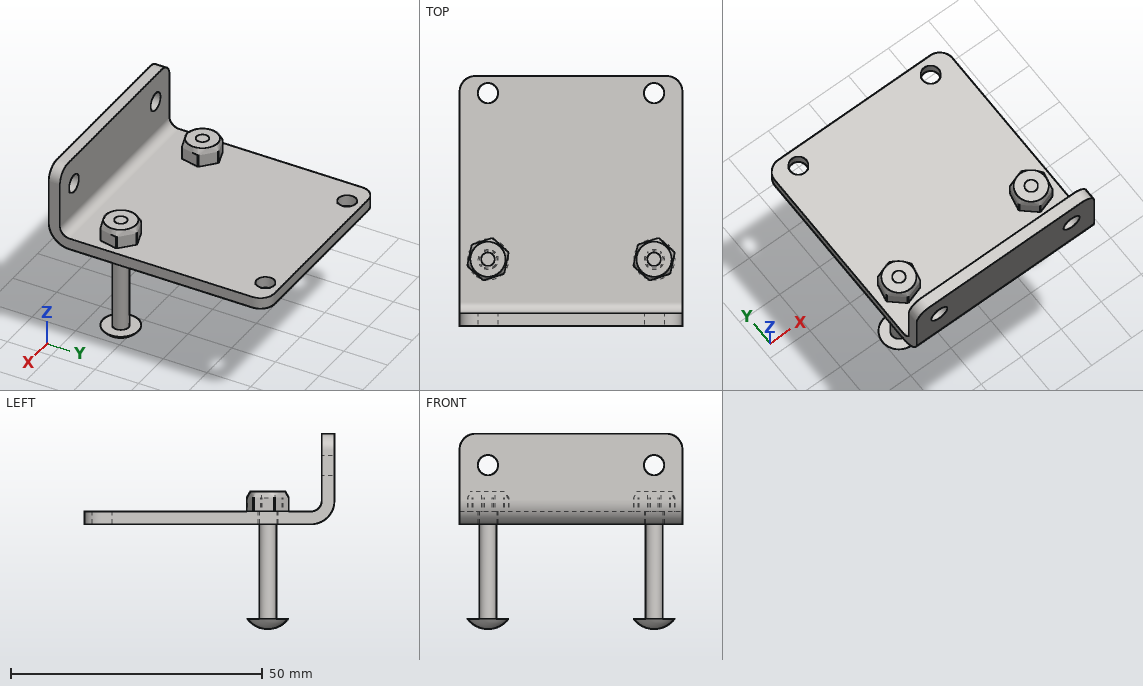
import cadquery as cq
import math

plate_width = 44.45
plate_length = 49.8
sheet_thickness = 2.6
flange_height = 18.1
inner_bend_radius = 2.15
outer_bend_radius = inner_bend_radius + sheet_thickness
corner_radius = 3.2

hole_diameter = 4.0
hole_spacing = 33.1
rear_hole_inset = 3.45
flange_hole_drop = 6.3
hole_xs = (-hole_spacing / 2, hole_spacing / 2)
rear_hole_y = plate_length - rear_hole_inset
bolt_y = rear_hole_y - hole_spacing
flange_hole_z = flange_height - flange_hole_drop

nut_across_flats = 7.5
nut_corner_flat = 0.3
nut_height = 4.0
nut_prism_height = 2.75
nut_top_diameter = 6.95
nut_insert_diameter = 5.4
nut_turn = 18.0

shank_diameter = 3.5
tip_diameter = 2.7
shank_below_plate = 18.8
head_diameter = 8.15
total_height = 38.95
head_height = total_height - flange_height - shank_below_plate


def make_bracket():
    bracket = (
        cq.Workplane("YZ")
        .moveTo(plate_length, 0)
        .lineTo(outer_bend_radius, 0)
        .radiusArc((0, outer_bend_radius), outer_bend_radius)
        .lineTo(0, flange_height)
        .lineTo(sheet_thickness, flange_height)
        .lineTo(sheet_thickness, outer_bend_radius)
        .radiusArc((outer_bend_radius, sheet_thickness), -inner_bend_radius)
        .lineTo(plate_length, sheet_thickness)
        .close()
        .extrude(plate_width / 2, both=True)
    )
    bracket = bracket.faces(">Y").edges("|Z").fillet(corner_radius)
    bracket = bracket.faces(">Z").edges("|Y").fillet(corner_radius)

    plate_holes = (
        cq.Workplane("XY")
        .pushPoints([(x, y) for x in hole_xs for y in (bolt_y, rear_hole_y)])
        .circle(hole_diameter / 2)
        .extrude(sheet_thickness)
    )
    flange_holes = (
        cq.Workplane("XZ")
        .pushPoints([(x, flange_hole_z) for x in hole_xs])
        .circle(hole_diameter / 2)
        .extrude(-sheet_thickness)
    )
    return bracket.cut(plate_holes).cut(flange_holes).solids()


def nut_outline():
    half_flats = nut_across_flats / 2
    half_side = half_flats * math.tan(math.radians(30))
    half_blunted_side = half_side - nut_corner_flat / math.sqrt(3)
    radius = math.hypot(half_flats, half_blunted_side)
    half_side_angle = math.atan2(half_blunted_side, half_flats)
    points = []
    for side in range(6):
        middle = math.radians(nut_turn + 30 + 60 * side)
        for angle in (middle - half_side_angle, middle + half_side_angle):
            points.append((radius * math.cos(angle), radius * math.sin(angle)))
    return points


def make_nut(x):
    outline = nut_outline()
    prism = cq.Workplane("XY").polyline(outline).close().extrude(nut_prism_height)
    crown = (
        cq.Workplane("XY")
        .workplane(offset=nut_prism_height)
        .polyline(outline)
        .close()
        .workplane(offset=nut_height - nut_prism_height)
        .circle(nut_top_diameter / 2)
        .loft(ruled=True)
    )
    insert = cq.Workplane("XY").circle(nut_insert_diameter / 2).extrude(nut_height)
    bore = cq.Workplane("XY").circle(tip_diameter / 2).extrude(nut_height)
    shell = prism.union(crown).cut(insert)
    nut = shell.union(insert.cut(bore), clean=False).solids()
    return nut.translate((x, bolt_y, sheet_thickness))


def make_bolt(x):
    head_top = -shank_below_plate
    shank_top = sheet_thickness
    tip_top = sheet_thickness + nut_height
    head_radius = head_diameter / 2
    dome_radius = (head_radius**2 + head_height**2) / (2 * head_height)
    bolt = (
        cq.Workplane("XZ")
        .moveTo(0, head_top - head_height)
        .radiusArc((head_radius, head_top), -dome_radius)
        .lineTo(shank_diameter / 2, head_top)
        .lineTo(shank_diameter / 2, shank_top)
        .lineTo(tip_diameter / 2, shank_top)
        .lineTo(tip_diameter / 2, tip_top)
        .lineTo(0, tip_top)
        .close()
        .revolve(360, (0, 0, 0), (0, 1, 0))
    )
    return bolt.translate((x, bolt_y, 0))


bracket = make_bracket()
nuts = [make_nut(x) for x in hole_xs]
bolts = [make_bolt(x) for x in hole_xs]

result = cq.Compound.makeCompound(
    [
        bracket.val(),
        *[nut.val() for nut in nuts],
        *[bolt.val() for bolt in bolts],
    ]
)